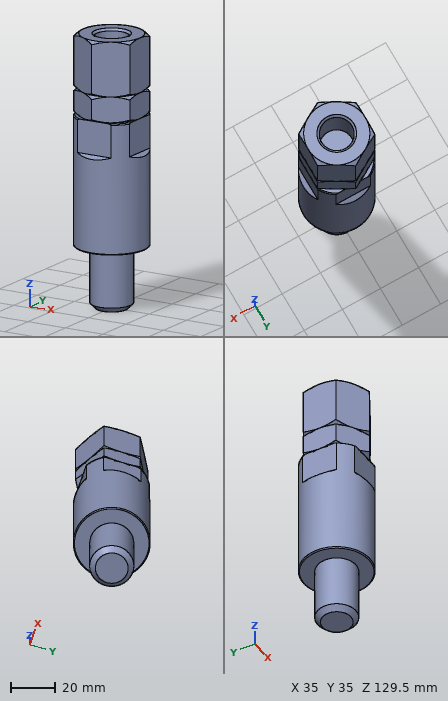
import cadquery as cq
import math

total_height = 129.5
shaft_length = 29.5
housing_top = 91.4
nut_top = 103.6

housing_diameter = 35.0
housing_bottom_chamfer = 0.5
housing_top_chamfer = 0.5
shaft_diameter = 20.1
shaft_chamfer = 2.6

across_flats = 30.0
flat_bottom = 75.5
slope_angle = 30.0

bore_diameter = 15.8
bore_mouth_diameter = 18.0
bore_depth = 20.7

housing_radius = housing_diameter / 2
flat_distance = across_flats / 2
slope = math.tan(math.radians(slope_angle))


def wrench_flat_cutter():
    """Block that cuts one flat on the +X side, with a shoulder sloping down outwards."""
    reach = housing_diameter
    outer_drop = (reach - flat_distance) * slope
    return (
        cq.Workplane("XZ")
        .moveTo(flat_distance, flat_bottom)
        .lineTo(reach, flat_bottom - outer_drop)
        .lineTo(reach, total_height)
        .lineTo(flat_distance, total_height)
        .close()
        .extrude(housing_radius, both=True)
    )


def make_housing():
    """Round housing with an integral shaft below and four wrench flats at the top."""
    shaft = cq.Workplane("XY").circle(shaft_diameter / 2).extrude(shaft_length)
    shaft = shaft.faces("<Z").chamfer(shaft_chamfer)
    barrel = (
        cq.Workplane("XY", origin=(0, 0, shaft_length))
        .circle(housing_radius)
        .extrude(housing_top - shaft_length)
    )
    barrel = barrel.faces("<Z").chamfer(housing_bottom_chamfer)
    barrel = barrel.faces(">Z").chamfer(housing_top_chamfer)
    body = barrel.union(shaft)
    for quarter in range(4):
        body = body.cut(wrench_flat_cutter().rotate((0, 0, 0), (0, 0, 1), 90 * quarter))
    return body


def make_hexagon(bottom, top):
    """Hexagonal prism with corners on the Y axis and conically chamfered ends."""
    corner_radius = flat_distance / math.cos(math.radians(30))
    corner_drop = (corner_radius - flat_distance) * slope
    prism = (
        cq.Workplane("XY", origin=(0, 0, bottom))
        .polygon(6, 2 * corner_radius)
        .extrude(top - bottom)
        .rotate((0, 0, 0), (0, 0, 1), 90)
    )
    turned_envelope = (
        cq.Workplane("XZ")
        .moveTo(0, bottom)
        .lineTo(flat_distance, bottom)
        .lineTo(corner_radius, bottom + corner_drop)
        .lineTo(corner_radius, top - corner_drop)
        .lineTo(flat_distance, top)
        .lineTo(0, top)
        .close()
        .revolve(360, (0, 0, 0), (0, 1, 0))
    )
    return prism.intersect(turned_envelope)


def make_socket():
    """Long end hexagon with a blind bore, countersunk at its mouth."""
    bore_radius = bore_diameter / 2
    mouth_radius = bore_mouth_diameter / 2
    bore = (
        cq.Workplane("XZ")
        .moveTo(0, total_height - bore_depth)
        .lineTo(bore_radius, total_height - bore_depth)
        .lineTo(bore_radius, total_height - (mouth_radius - bore_radius))
        .lineTo(mouth_radius, total_height)
        .lineTo(0, total_height)
        .close()
        .revolve(360, (0, 0, 0), (0, 1, 0))
    )
    return make_hexagon(nut_top, total_height).cut(bore)


housing = make_housing()
lock_nut = make_hexagon(housing_top, nut_top)
socket = make_socket()

result = cq.Compound.makeCompound([housing.val(), lock_nut.val(), socket.val()])